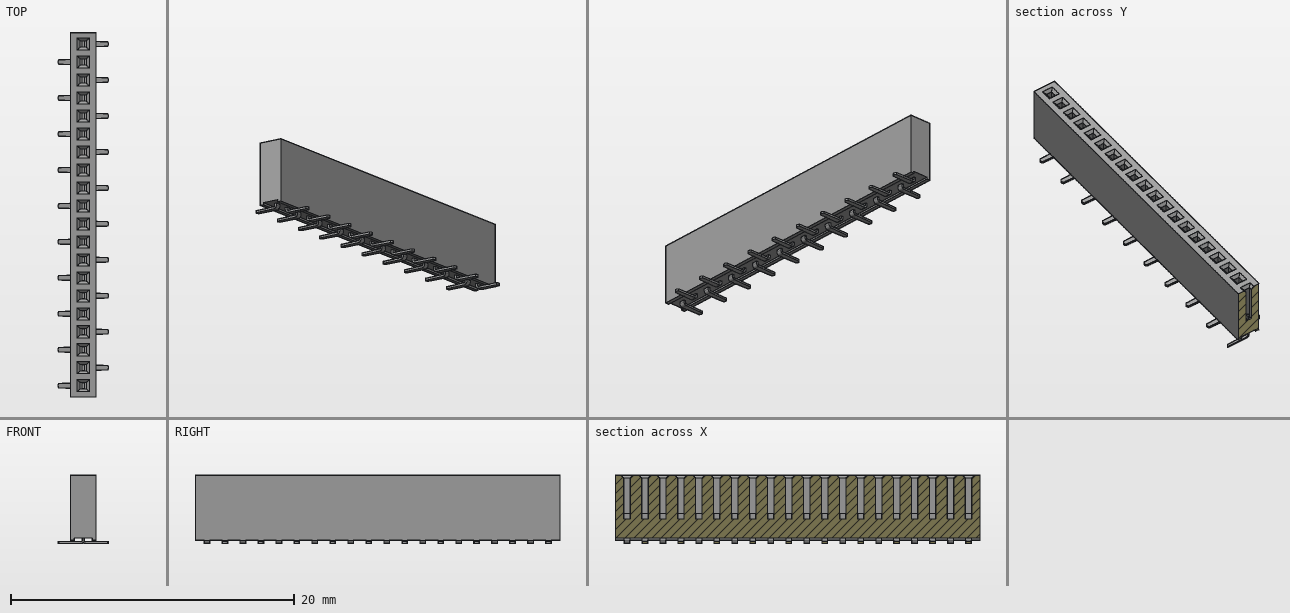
import cadquery as cq

pin_count = 20
pin_row_length = 24.13
pitch = pin_row_length / (pin_count - 1)
first_pin_y = -pin_row_length / 2

body_length = 25.75
overall_width = 3.58
overall_height = 4.85
body_width = 1.8
strip_thickness = 0.15
body_bottom_z = 0.23
body_height = overall_height - body_bottom_z

channel_width = 1.24
channel_depth = 0.15

funnel_width = 0.85
bore_width = 0.45
funnel_depth = 0.2
socket_depth = 3.1

strip_width = 0.4
leg_tip_width = 0.33
bend_radius = 0.08
blade_height = 0.39
leg_tip_bulge = 0.08
blade_top_z = overall_height - socket_depth + blade_height


def make_housing():
    """Long box with a square-edged channel running the full length of its underside."""
    box = cq.Workplane("XY").box(body_width, body_length, body_height, centered=(True, True, False))
    box = box.translate((0, 0, body_bottom_z))
    channel = (
        cq.Workplane("XY", origin=(0, 0, body_bottom_z))
        .box(channel_width, body_length, channel_depth, centered=(True, True, False))
    )
    return box.cut(channel)


def make_socket():
    """Blind square bore below a funnel, open at the top face."""
    bore = (
        cq.Workplane("XY", origin=(0, 0, overall_height))
        .rect(bore_width, bore_width)
        .extrude(-socket_depth)
    )
    funnel = (
        cq.Workplane("XY", origin=(0, 0, overall_height))
        .rect(funnel_width, funnel_width)
        .workplane(offset=-funnel_depth)
        .rect(bore_width, bore_width)
        .loft(ruled=True)
    )
    return bore.union(funnel)


def make_contact():
    """Strip that stands in the socket, bends under the housing and leaves as a leg toward +X.

    In plan the leg narrows slightly toward its rounded tip.
    """
    half_thickness = strip_thickness / 2
    leg_end_x = overall_width / 2 - leg_tip_bulge
    outer_radius = bend_radius + strip_thickness
    leg_start_x = half_thickness + bend_radius
    strip = (
        cq.Workplane("XZ")
        .moveTo(-half_thickness, blade_top_z)
        .lineTo(-half_thickness, outer_radius)
        .radiusArc((outer_radius - half_thickness, 0), -outer_radius)
        .lineTo(overall_width / 2, 0)
        .lineTo(overall_width / 2, strip_thickness)
        .lineTo(leg_start_x, strip_thickness)
        .radiusArc((half_thickness, outer_radius), bend_radius)
        .lineTo(half_thickness, blade_top_z)
        .close()
        .extrude(strip_width / 2, both=True)
    )
    plan = (
        cq.Workplane("XY")
        .moveTo(-half_thickness, -strip_width / 2)
        .lineTo(leg_start_x, -strip_width / 2)
        .lineTo(leg_end_x, -leg_tip_width / 2)
        .threePointArc((overall_width / 2, 0), (leg_end_x, leg_tip_width / 2))
        .lineTo(leg_start_x, strip_width / 2)
        .lineTo(-half_thickness, strip_width / 2)
        .close()
        .extrude(blade_top_z)
    )
    return strip.intersect(plan)


housing = make_housing()
socket = make_socket()
right_contact = make_contact()
left_contact = right_contact.mirror("YZ")

pin_places = [(0, first_pin_y + index * pitch, 0) for index in range(pin_count)]
for place in pin_places:
    housing = housing.cut(socket.translate(place))

result = housing
for index, place in enumerate(pin_places):
    contact = left_contact if index % 2 == 0 else right_contact
    result = result.union(contact.translate(place))